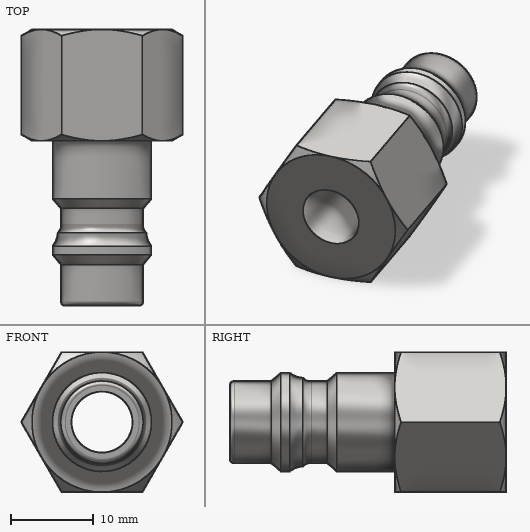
import cadquery as cq
import math

total_length = 33.5
hex_across_flats = 17.0
hex_length = 13.5
hex_corner_chamfer_angle = 30.0

body_radius = 6.0
neck_radius = 5.0
bore_radius = 3.7
tip_fillet = 0.5

nose_end = 5.0
collar_start = 6.2
collar_end = 7.25
step_end = 8.85
groove_start = 9.85
groove_end = 11.8
body_start = 12.95

step_radius = 5.4
lower_flare_sag = 0.15
upper_flare_sag = 0.15

hex_across_corners = hex_across_flats / math.cos(math.radians(30))
hex_start = total_length - hex_length


def concave_midpoint(start, end, sag):
    """Point on a concave arc, offset by sag towards the axis from the chord's middle."""
    chord_r = end[0] - start[0]
    chord_y = end[1] - start[1]
    chord = math.hypot(chord_r, chord_y)
    middle_r = (start[0] + end[0]) / 2
    middle_y = (start[1] + end[1]) / 2
    return (middle_r - sag * abs(chord_y) / chord, middle_y - sag * abs(chord_r) / chord)


def revolve_about_y(profile):
    return profile.close().revolve(360, (0, 0, 0), (0, 1, 0))


def make_plug():
    collar_edge = (body_radius, collar_end)
    step_edge = (step_radius, step_end)
    groove_edge = (neck_radius, groove_start)
    profile = (
        cq.Workplane("XY")
        .moveTo(0, 0)
        .lineTo(neck_radius, 0)
        .lineTo(neck_radius, nose_end)
        .lineTo(body_radius, collar_start)
        .lineTo(*collar_edge)
        .threePointArc(concave_midpoint(collar_edge, step_edge, lower_flare_sag), step_edge)
        .threePointArc(concave_midpoint(step_edge, groove_edge, upper_flare_sag), groove_edge)
        .lineTo(neck_radius, groove_end)
        .lineTo(body_radius, body_start)
        .lineTo(body_radius, hex_start)
        .lineTo(0, hex_start)
    )
    return revolve_about_y(profile).faces("<Y").edges().fillet(tip_fillet)


def make_hex():
    prism = (
        cq.Workplane("XZ", origin=(0, total_length, 0))
        .polygon(6, hex_across_corners)
        .extrude(hex_length)
    )
    flat_radius = hex_across_flats / 2
    corner_radius = hex_across_corners / 2
    chamfer_depth = (corner_radius - flat_radius) * math.tan(math.radians(hex_corner_chamfer_angle))
    chamfer_envelope = (
        cq.Workplane("XY")
        .moveTo(0, hex_start)
        .lineTo(flat_radius, hex_start)
        .lineTo(corner_radius, hex_start + chamfer_depth)
        .lineTo(corner_radius, total_length - chamfer_depth)
        .lineTo(flat_radius, total_length)
        .lineTo(0, total_length)
    )
    return prism.intersect(revolve_about_y(chamfer_envelope))


bore = cq.Workplane("XZ").circle(bore_radius).extrude(-total_length)
fitting = make_plug().union(make_hex()).cut(bore)
result = fitting.translate((0, -total_length / 2, 0))